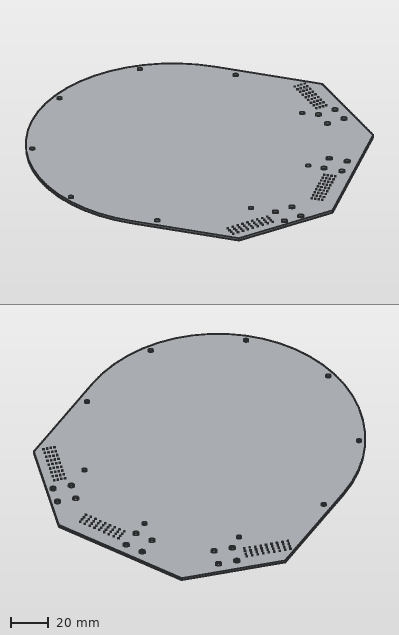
import cadquery as cq
import math

length = 178.5
width = 157.0
thickness = 1.6
nose_radius = width / 2
right_x = length - nose_radius
corner_cut = 40.2

mount_count = 9
mount_ring_radius = 75.1
mount_diameter = 2.5

fixing_spacing = 10.0
fixing_diameter = 3.0
pin_diameter = 0.6
pin_grid = 1.0
pin_columns = 4
pin_rows = 9
pin_column_pitch = 2 * pin_grid
pin_row_pitch = 3 * pin_grid
pin_field_offset = 23.0

sensor_sites = [
    (88.9, fixing_spacing / 2, 0),
    (73.4, 49.5, 225),
    (78.2, -48.2, -45),
]


def make_plate():
    """Flat plate with a round nose toward -X and cut corners toward +X."""
    half_width = width / 2
    return (
        cq.Workplane("XY")
        .moveTo(0, half_width)
        .threePointArc((-nose_radius, 0), (0, -half_width))
        .lineTo(right_x - corner_cut, -half_width)
        .lineTo(right_x, -half_width + corner_cut)
        .lineTo(right_x, half_width - corner_cut)
        .lineTo(right_x - corner_cut, half_width)
        .close()
        .extrude(thickness)
    )


def make_drills(points, diameter):
    """Cylinders through the plate thickness at the given points."""
    return cq.Workplane("XY").pushPoints(points).circle(diameter / 2).extrude(thickness)


def grid_points(columns, rows, column_pitch, row_pitch, centre_y=0.0):
    """Points of a rectangular grid centred on (0, centre_y)."""
    return [
        ((column - (columns - 1) / 2) * column_pitch, centre_y + (row - (rows - 1) / 2) * row_pitch)
        for column in range(columns)
        for row in range(rows)
    ]


def place_on_site(points, site):
    """Turn points by the site rotation and move them to the site centre."""
    centre_x, centre_y, degrees = site
    cosine = math.cos(math.radians(degrees))
    sine = math.sin(math.radians(degrees))
    return [
        (centre_x + x * cosine - y * sine, centre_y + x * sine + y * cosine)
        for x, y in points
    ]


def mount_points():
    """Evenly spaced points on the mounting ring, the first one on +X."""
    step = 2 * math.pi / mount_count
    return [
        (mount_ring_radius * math.cos(i * step), mount_ring_radius * math.sin(i * step))
        for i in range(mount_count)
    ]


fixing_square = grid_points(2, 2, fixing_spacing, fixing_spacing)
pin_field = grid_points(pin_columns, pin_rows, pin_column_pitch, pin_row_pitch, -pin_field_offset)

result = make_plate().cut(make_drills(mount_points(), mount_diameter))
for sensor_site in sensor_sites:
    result = result.cut(make_drills(place_on_site(fixing_square, sensor_site), fixing_diameter))
    result = result.cut(make_drills(place_on_site(pin_field, sensor_site), pin_diameter))